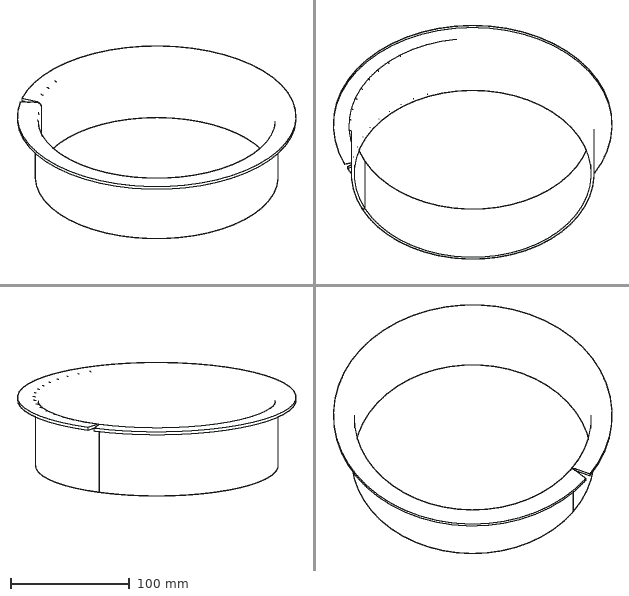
import cadquery as cq
import math

flange_radius = 117.5
height = 60.0
sheet_thickness = 2.5

bore_radius = 99.9
sleeve_radius = bore_radius + sheet_thickness
bend_inner_radius = 1.9
bend_outer_radius = bend_inner_radius + sheet_thickness
bend_center_radius = sleeve_radius + bend_inner_radius
bend_center_z = height - bend_outer_radius

split_angle = 181.9
split_width = 0.5
notch_start_radius = 101.5
notch_rim_width = 5.9
cut_overrun = 2.4

foot_round = 0.5


def flanged_sleeve():
    """Revolve the bent sheet section around the Z axis."""
    diagonal = math.sqrt(0.5)
    outer_mid = (
        bend_center_radius - bend_outer_radius * diagonal,
        bend_center_z + bend_outer_radius * diagonal,
    )
    inner_mid = (
        bend_center_radius - bend_inner_radius * diagonal,
        bend_center_z + bend_inner_radius * diagonal,
    )
    return (
        cq.Workplane("XZ")
        .moveTo(bore_radius, 0)
        .lineTo(bore_radius, bend_center_z)
        .threePointArc(outer_mid, (bend_center_radius, height))
        .lineTo(flange_radius, height)
        .lineTo(flange_radius, height - sheet_thickness)
        .lineTo(bend_center_radius, height - sheet_thickness)
        .threePointArc(inner_mid, (sleeve_radius, bend_center_z))
        .lineTo(sleeve_radius, foot_round)
        .radiusArc((sleeve_radius - foot_round, 0), foot_round)
        .close()
        .revolve(360, (0, 0), (0, 1))
    )


def split():
    """Narrow radial slit through the full height."""
    start = bore_radius - cut_overrun
    length = flange_radius + cut_overrun - start
    return (
        cq.Workplane("XY")
        .center(start + length / 2, 0)
        .rect(length, split_width)
        .extrude(height)
        .rotate((0, 0, 0), (0, 0, 1), split_angle)
    )


def flange_notch():
    """Flared opening through the bend and the flange."""
    half_start = split_width / 2
    half_rim = notch_rim_width / 2
    flare = (half_rim - half_start) / (flange_radius - notch_start_radius)
    half_end = half_rim + flare * cut_overrun
    end_radius = flange_radius + cut_overrun
    return (
        cq.Workplane("XY", origin=(0, 0, bend_center_z))
        .polyline([
            (notch_start_radius, -half_start),
            (end_radius, -half_end),
            (end_radius, half_end),
            (notch_start_radius, half_start),
        ])
        .close()
        .extrude(bend_outer_radius)
        .rotate((0, 0, 0), (0, 0, 1), split_angle)
    )


result = flanged_sleeve().cut(split()).cut(flange_notch())